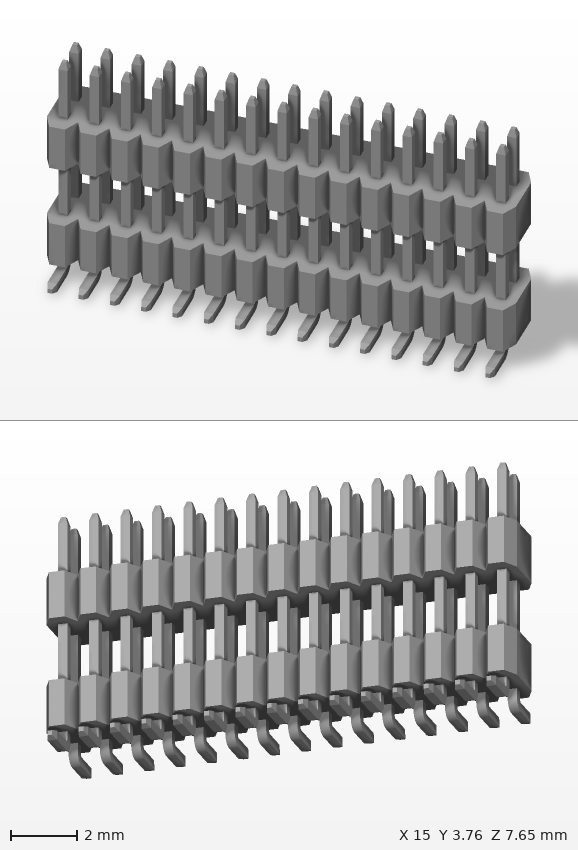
import cadquery as cq
import math

LENGTH = 15.0
PIN_COUNT = 15
PITCH = LENGTH / PIN_COUNT
ROW_OFFSET = PITCH / 2

BAR_DEPTH = 2.4
BAR_WAIST = 1.4
BAR_HEIGHT = 1.5
CELL_FLAT = PITCH / 2
LOWER_BAR_Z = 0.65
BAR_GAP = 2.01
UPPER_BAR_Z = LOWER_BAR_Z + BAR_HEIGHT + BAR_GAP

PIN_WIDTH = 0.3
PIN_TOP = 7.65
FOOT_REACH = 1.88
BEND_INNER = 0.08
BEND_OUTER = BEND_INNER + PIN_WIDTH
TIP_LENGTH = 0.24
TIP_WIDTH = 0.15


def make_bar(bottom_z):
    """Insulator bar whose long sides zigzag between cell flats and notch points."""
    front_edge = [(-LENGTH / 2, -BAR_WAIST / 2)]
    for cell in range(PIN_COUNT):
        notch_x = -LENGTH / 2 + (cell + 1) * PITCH
        center_x = notch_x - PITCH / 2
        front_edge.append((center_x - CELL_FLAT / 2, -BAR_DEPTH / 2))
        front_edge.append((center_x + CELL_FLAT / 2, -BAR_DEPTH / 2))
        front_edge.append((notch_x, -BAR_WAIST / 2))
    back_edge = [(x, -y) for x, y in reversed(front_edge)]
    outline = cq.Workplane("XY").workplane(offset=bottom_z).polyline(front_edge + back_edge)
    return outline.close().extrude(BAR_HEIGHT)


def make_tip():
    """Tapered pin end, from its wide base at Z = 0 up to its blunt point."""
    base = cq.Workplane("XY").rect(PIN_WIDTH, PIN_WIDTH)
    return base.workplane(offset=TIP_LENGTH).rect(TIP_WIDTH, TIP_WIDTH).loft(ruled=True)


def make_pin():
    """Pin of the +Y row at X = 0: upright shank, bend, foot and both tapered ends."""
    inner_y = ROW_OFFSET - PIN_WIDTH / 2
    outer_y = ROW_OFFSET + PIN_WIDTH / 2
    shank_top = PIN_TOP - TIP_LENGTH
    foot_end = FOOT_REACH - TIP_LENGTH
    bend_y = inner_y + BEND_OUTER
    bend_z = BEND_OUTER
    diagonal = math.sqrt(0.5)

    profile = (
        cq.Workplane("YZ")
        .workplane(offset=-PIN_WIDTH / 2)
        .moveTo(inner_y, shank_top)
        .lineTo(inner_y, bend_z)
        .threePointArc((bend_y - BEND_OUTER * diagonal, bend_z - BEND_OUTER * diagonal), (bend_y, 0))
        .lineTo(foot_end, 0)
        .lineTo(foot_end, PIN_WIDTH)
        .lineTo(bend_y, PIN_WIDTH)
        .threePointArc((bend_y - BEND_INNER * diagonal, bend_z - BEND_INNER * diagonal), (outer_y, bend_z))
        .lineTo(outer_y, shank_top)
        .close()
    )
    top_tip = make_tip().translate((0, ROW_OFFSET, shank_top))
    foot_tip = make_tip().rotate((0, 0, 0), (1, 0, 0), -90).translate((0, foot_end, PIN_WIDTH / 2))
    return profile.extrude(PIN_WIDTH).union(top_tip).union(foot_tip)


back_pin = make_pin()
front_pin = back_pin.mirror("XZ")
result = make_bar(LOWER_BAR_Z).union(make_bar(UPPER_BAR_Z))
for position in range(PIN_COUNT):
    pin_x = (position - (PIN_COUNT - 1) / 2) * PITCH
    for pin in (back_pin, front_pin):
        result = result.union(pin.translate((pin_x, 0, 0)))